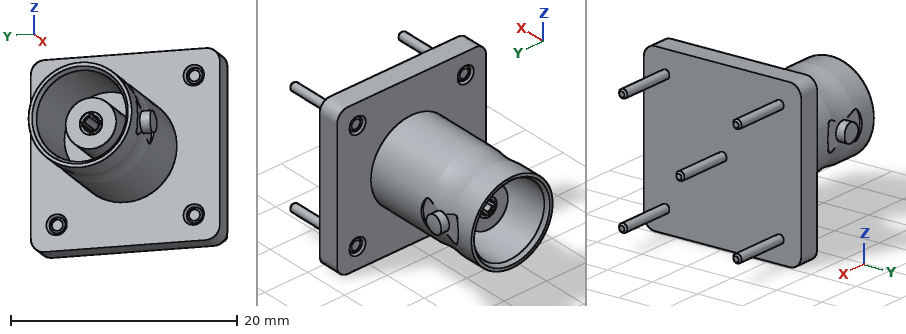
import cadquery as cq

flange_side = 17.5
flange_front = 13.52
flange_thickness = 2.35
flange_corner_radius = 1.27
flange_back = flange_front + flange_thickness

shell_radius = 4.78
mouth_radius = 4.45
lead_in_radius = 4.15
lead_in_depth = 0.42
cavity_floor_radius = 4.05
cavity_depth = 8.4

lug_x = 4.25
lug_radius = 1.0
lug_reach = 5.5
groove_width = 3.22
groove_depth = 0.145
seat_radius = 2.5
seat_distance = 4.53

insulator_radius = 2.33
insulator_front = 3.25
contact_radius = 1.05
contact_recess = 0.11
contact_front = insulator_front + contact_recess
contact_bore_radius = 0.67
contact_bore_depth = 4.0
contact_cone_length = 0.45
contact_chamfer = 0.11
contact_slot_width = 0.35
contact_slot_depth = 3.0

pin_end = 22.23
pin_radius = 0.47
pin_chamfer = 0.18
pin_tip_length = 0.2
pin_spacing = 12.7
pin_offset = pin_spacing / 2

countersink_radius = 0.95
recess_radius = 0.73
countersink_depth = countersink_radius - recess_radius
head_chamfer = 0.22
recess_depth = countersink_depth + head_chamfer

corner_centres = [(y, z) for y in (-pin_offset, pin_offset) for z in (-pin_offset, pin_offset)]


def revolve_about_x(profile):
    """Revolve a closed profile, drawn as (x, radius), about the X axis."""
    return profile.close().revolve(360, (0, 0, 0), (1, 0, 0))


def rod_along_x(start, end, radius):
    return cq.Workplane("YZ", origin=(start, 0, 0)).circle(radius).extrude(end - start)


def make_flange():
    plate = cq.Workplane("YZ", origin=(flange_front, 0, 0)).rect(flange_side, flange_side)
    return plate.extrude(flange_thickness).edges("|X").fillet(flange_corner_radius)


def make_shell():
    groove_start = lug_x - groove_width / 2
    groove_end = lug_x + groove_width / 2
    profile = (
        cq.Workplane("XY")
        .moveTo(0, mouth_radius)
        .lineTo(0, shell_radius)
        .lineTo(groove_start, shell_radius)
        .threePointArc((lug_x, shell_radius - groove_depth), (groove_end, shell_radius))
        .lineTo(flange_front, shell_radius)
        .lineTo(flange_front, 0)
        .lineTo(cavity_depth, 0)
        .lineTo(cavity_depth, cavity_floor_radius)
        .lineTo(lead_in_depth, lead_in_radius)
    )
    return revolve_about_x(profile)


def cut_lug_seats(shell):
    """Cut a round flat seat into the shell on both sides in Y."""
    across_seats = cq.Workplane("XZ", origin=(lug_x, 0, 0))
    beyond_lugs = across_seats.circle(seat_radius).extrude(lug_reach, both=True)
    between_seats = across_seats.rect(2 * seat_radius, 2 * seat_radius).extrude(seat_distance, both=True)
    return shell.cut(beyond_lugs.cut(between_seats))


def make_lugs():
    """Two lugs whose ends are rounded about the X axis."""
    bar = cq.Workplane("XZ", origin=(lug_x, 0, 0)).circle(lug_radius).extrude(lug_reach, both=True)
    bar = bar.intersect(rod_along_x(0, flange_front, lug_reach))
    wall_middle = (lead_in_radius + seat_distance) / 2
    return bar.cut(rod_along_x(0, flange_front, wall_middle))


def make_insulator():
    return rod_along_x(insulator_front, flange_front, insulator_radius)


def make_contact_hole():
    """Hole through the insulator that houses the contact."""
    return rod_along_x(insulator_front, flange_front, contact_radius)


def make_contact():
    """Socket with a cone-bottomed bore, its wall split by crossed slots."""
    bore_end = contact_front + contact_bore_depth
    profile = (
        cq.Workplane("XY")
        .moveTo(flange_front, 0)
        .lineTo(flange_front, contact_radius)
        .lineTo(contact_front, contact_radius)
        .lineTo(contact_front, contact_bore_radius + contact_chamfer)
        .lineTo(contact_front + contact_chamfer, contact_bore_radius)
        .lineTo(bore_end, contact_bore_radius)
        .lineTo(bore_end + contact_cone_length, 0)
    )
    contact = revolve_about_x(profile)
    face = cq.Workplane("YZ", origin=(contact_front, 0, 0))
    slot_length = 2 * insulator_radius
    contact = contact.cut(face.rect(slot_length, contact_slot_width).extrude(contact_slot_depth))
    return contact.cut(face.rect(contact_slot_width, slot_length).extrude(contact_slot_depth))


def make_pin():
    tip_start = pin_end - pin_tip_length
    profile = (
        cq.Workplane("XY")
        .moveTo(flange_back, 0)
        .lineTo(flange_back, pin_radius)
        .lineTo(tip_start, pin_radius)
        .lineTo(pin_end, pin_radius - pin_chamfer)
        .lineTo(pin_end, 0)
    )
    return revolve_about_x(profile)


def make_pin_recess():
    """Countersunk ring around the chamfered head of a corner pin."""
    head_face = flange_front + countersink_depth
    profile = (
        cq.Workplane("XY")
        .moveTo(flange_front, 0)
        .lineTo(flange_front, countersink_radius)
        .lineTo(head_face, recess_radius)
        .lineTo(flange_front + recess_depth, recess_radius)
        .lineTo(head_face, recess_radius - head_chamfer)
        .lineTo(head_face, 0)
    )
    return revolve_about_x(profile)


result = cut_lug_seats(make_shell()).union(make_lugs()).union(make_insulator()).union(make_flange())

result = result.cut(make_contact_hole()).union(make_contact()).union(make_pin())

for y, z in corner_centres:
    result = result.union(make_pin().translate((0, y, z)))
    result = result.cut(make_pin_recess().translate((0, y, z)))